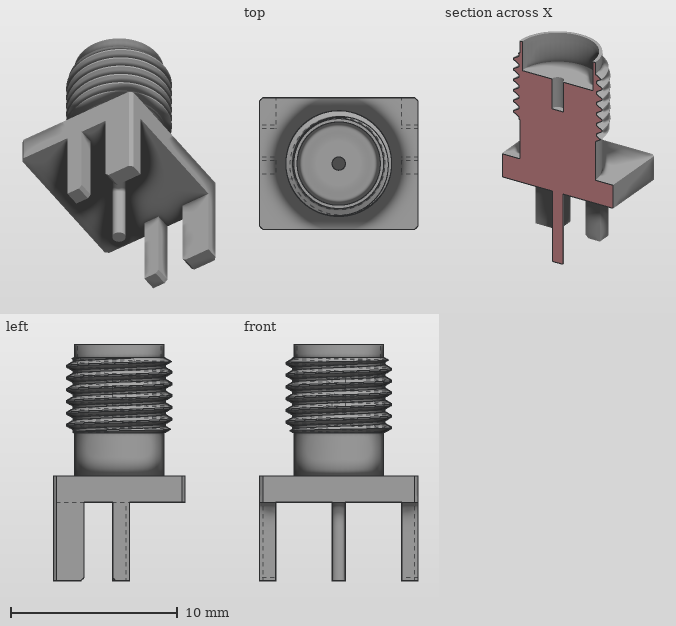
import cadquery as cq
import math


flange_length = 9.52
flange_width = 7.92
flange_thickness = 1.58
corner_chamfer = 0.2

leg_height = 4.72
leg_thickness = 0.99
wide_leg_width = 1.85
narrow_leg_width = 1.02
leg_gap = 1.71
leg_tip_chamfer = 0.2
pin_diameter = 0.8

barrel_height = 7.9
barrel_radius = 2.7
bore_radius = 2.5
bore_depth = 1.93
contact_hole_diameter = 0.8
contact_hole_depth = 2.0

thread_radius = 6.35 / 2
thread_pitch = 25.4 / 36
thread_root_radius = 2.77
thread_bottom = 2.58
thread_top = 7.11
flank_angle = math.radians(30)
crest_flat = thread_pitch / 8
groove_overshoot = 0.03
groove_turns_below_top = 8.5
blank_seam_angle = 77

flange_bottom = -flange_thickness
leg_bottom = flange_bottom - leg_height
wide_leg_inner_y = flange_width / 2 - wide_leg_width
narrow_leg_inner_y = wide_leg_inner_y - leg_gap
bore_floor = barrel_height - bore_depth


def cylinder(radius, bottom, height):
    return cq.Workplane("XY").workplane(offset=bottom).circle(radius).extrude(height)


def make_leg(width, center_y, side, tip_edge):
    """A leg on the +X (side = 1) or -X (side = -1) end, chamfered at one tip edge."""
    center_x = side * (flange_length - leg_thickness) / 2
    return (
        cq.Workplane("XY")
        .workplane(offset=leg_bottom)
        .center(center_x, center_y)
        .rect(leg_thickness, width)
        .extrude(leg_height)
        .faces("<Z")
        .edges(tip_edge)
        .chamfer(leg_tip_chamfer)
    )


def make_base():
    """Flange and legs, with the vertical corners chamfered over their full height."""
    base = cq.Workplane("XY").workplane(offset=flange_bottom)
    base = base.rect(flange_length, flange_width).extrude(flange_thickness)
    for side in (-1, 1):
        wide_center_y = wide_leg_inner_y + wide_leg_width / 2
        narrow_center_y = narrow_leg_inner_y - narrow_leg_width / 2
        base = base.union(make_leg(wide_leg_width, wide_center_y, side, "<Y"))
        base = base.union(make_leg(narrow_leg_width, narrow_center_y, side, ">Y"))
    corner_block = (
        cq.Workplane("XY")
        .workplane(offset=leg_bottom)
        .rect(flange_length, flange_width)
        .extrude(-leg_bottom)
        .edges("|Z")
        .chamfer(corner_chamfer)
    )
    return base.intersect(corner_block)


def make_thread_groove():
    """Right-handed helical V groove cutter, overrunning both ends of the thread."""
    start_z = thread_top - groove_turns_below_top * thread_pitch
    end_z = thread_top + thread_pitch
    cutter_radius = thread_radius + groove_overshoot
    crest_half_gap = (thread_pitch - crest_flat) / 2
    root_half_gap = crest_half_gap - (thread_radius - thread_root_radius) * math.tan(flank_angle)
    outer_half_gap = crest_half_gap + groove_overshoot * math.tan(flank_angle)
    profile = cq.Workplane("XZ").polyline(
        [
            (thread_root_radius, start_z - root_half_gap),
            (cutter_radius, start_z - outer_half_gap),
            (cutter_radius, start_z + outer_half_gap),
            (thread_root_radius, start_z + root_half_gap),
        ]
    ).close()
    helix = cq.Wire.makeHelix(thread_pitch, end_z - start_z, thread_root_radius, cq.Vector(0, 0, start_z))
    return profile.sweep(cq.Workplane(obj=helix), isFrenet=True)


def make_thread():
    """Threaded collar whose ends slope out from the barrel at the flank angle."""
    end_slope = (thread_radius - barrel_radius) * math.tan(flank_angle)
    collar = (
        cq.Workplane("XZ")
        .polyline(
            [
                (0, thread_bottom),
                (barrel_radius, thread_bottom),
                (thread_radius, thread_bottom + end_slope),
                (thread_radius, thread_top - end_slope),
                (barrel_radius, thread_top),
                (0, thread_top),
            ]
        )
        .close()
        .revolve(360, (0, 0), (0, 1))
    )
    blank = cylinder(thread_radius, thread_bottom, thread_top - thread_bottom)
    blank = blank.rotate((0, 0, 0), (0, 0, 1), blank_seam_angle)
    return blank.cut(make_thread_groove()).intersect(collar)


def make_barrel():
    """Threaded barrel with a flat-bottomed bore and a contact hole in its floor."""
    barrel = cylinder(barrel_radius, 0, barrel_height).union(make_thread())
    barrel = barrel.cut(cylinder(bore_radius, bore_floor, bore_depth))
    hole_bottom = bore_floor - contact_hole_depth
    return barrel.cut(cylinder(contact_hole_diameter / 2, hole_bottom, contact_hole_depth))


pin = cylinder(pin_diameter / 2, leg_bottom, leg_height)
result = make_base().union(pin).union(make_barrel())